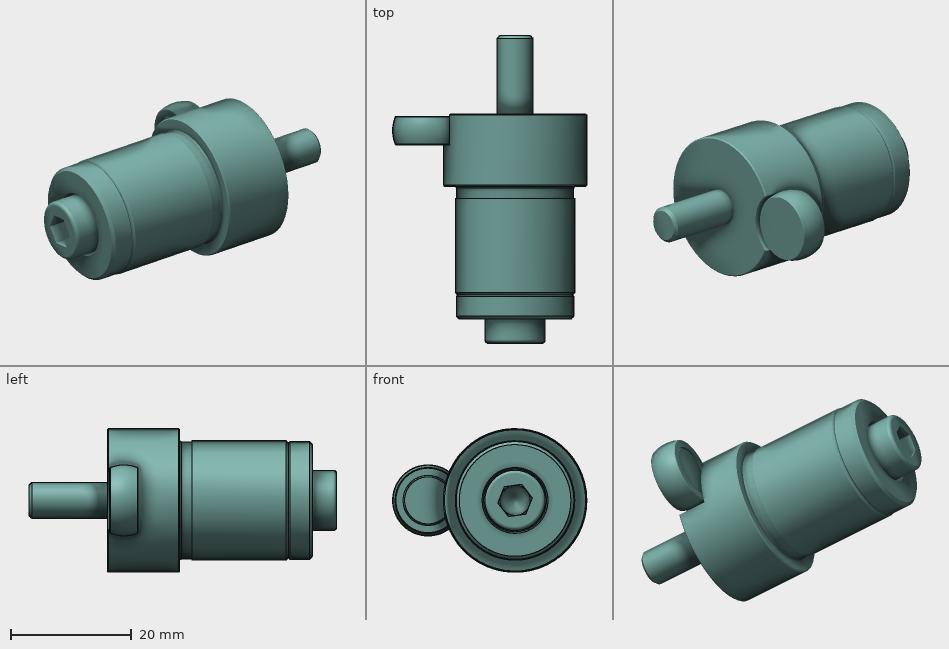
import cadquery as cq
import math


shank_radius = 3.0
shank_length = 45.0
tip_chamfer = 0.5
head_radius = 5.0
head_height = 6.0
head_fillet = 0.6
socket_across_flats = 5.0
socket_depth = 3.0
socket_cone_angle = 118.0
socket_turn = 8.0
screw_protrusion = 13.0

flange_radius = 11.9
flange_length = 12.0
flange_chamfer = 0.2
neck_radius = 9.7
neck_length = 2.0
neck_flare_width = 0.15
neck_flare_length = 0.3

sleeve_radius = 9.9
sleeve_length = 16.0
cap_radius = 9.75
cap_length = 4.0
cap_chamfer = 0.5
groove_radius = 9.5
counterbore_radius = 5.2
counterbore_chamfer = 0.25

disc_offset = 14.4
disc_radius = 5.9
disc_thickness = 4.7
disc_recess = 0.4
disc_edge_chamfer = 0.12
insert_radius = 4.15
insert_chamfer = 0.25
insert_recess = 0.2
pocket_radius = 6.0

flange_front = flange_length
neck_front = flange_front + neck_length
sleeve_front = neck_front + sleeve_length
cap_front = sleeve_front + cap_length
screw_tip = -screw_protrusion
head_back = screw_tip + shank_length
head_front = head_back + head_height
disc_back = disc_recess
disc_front = disc_back + disc_thickness


def turned(profile):
    """Revolve a closed outline of (radius, station) points about the Y axis."""
    points = [(radius, -station) for radius, station in profile]
    return cq.Workplane("XY").polyline(points).close().revolve(360, (0, 0, 0), (0, 1, 0))


def cylinder(radius, back, front):
    """Plain cylinder on the Y axis between two stations."""
    return turned([(0, back), (radius, back), (radius, front), (0, front)])


def make_screw():
    shank_tip_radius = shank_radius - tip_chamfer
    body = turned([
        (0, screw_tip),
        (shank_tip_radius, screw_tip),
        (shank_radius, screw_tip + tip_chamfer),
        (shank_radius, head_back),
        (head_radius, head_back),
        (head_radius, head_front),
        (0, head_front),
    ])
    body = body.faces("<Y").edges().fillet(head_fillet)

    socket_floor = head_front - socket_depth
    corner_diameter = socket_across_flats / math.cos(math.pi / 6)
    hexagon = (
        cq.Workplane("XZ", origin=(0, -socket_floor, 0))
        .polygon(6, corner_diameter)
        .extrude(socket_depth)
        .rotate((0, 0, 0), (0, 1, 0), -socket_turn)
    )
    cone_radius = socket_across_flats / 2
    cone_depth = cone_radius / math.tan(math.radians(socket_cone_angle / 2))
    drill_point = turned([
        (0, socket_floor - cone_depth),
        (cone_radius, socket_floor),
        (0, socket_floor),
    ])
    return body.cut(hexagon).cut(drill_point)


def make_flange():
    body = turned([
        (shank_radius, 0),
        (flange_radius - flange_chamfer, 0),
        (flange_radius, flange_chamfer),
        (flange_radius, flange_front - flange_chamfer),
        (flange_radius - flange_chamfer, flange_front),
        (neck_radius + neck_flare_width, flange_front),
        (neck_radius, flange_front + neck_flare_length),
        (neck_radius, neck_front),
        (shank_radius, neck_front),
    ])
    pocket = cylinder(pocket_radius, 0, disc_front).translate((-disc_offset, 0, 0))
    return body.cut(pocket)


def make_sleeve():
    sleeve_chamfer = sleeve_radius - groove_radius
    return turned([
        (shank_radius, neck_front),
        (sleeve_radius, neck_front),
        (sleeve_radius, sleeve_front - sleeve_chamfer),
        (groove_radius, sleeve_front),
        (shank_radius, sleeve_front),
    ])


def make_cap():
    cap_back_chamfer = cap_radius - groove_radius
    return turned([
        (shank_radius, sleeve_front),
        (groove_radius, sleeve_front),
        (cap_radius, sleeve_front + cap_back_chamfer),
        (cap_radius, cap_front - cap_chamfer),
        (cap_radius - cap_chamfer, cap_front),
        (counterbore_radius + counterbore_chamfer, cap_front),
        (counterbore_radius, cap_front - counterbore_chamfer),
        (counterbore_radius, head_back),
        (shank_radius, head_back),
    ])


def make_disc_ring():
    middle = (disc_back + disc_front) / 2
    half_rim = disc_thickness / 2 - disc_edge_chamfer
    rim_end_radius = math.sqrt(disc_radius**2 - half_rim**2)
    face_radius = rim_end_radius - disc_edge_chamfer
    ring = (
        cq.Workplane("XY")
        .moveTo(insert_radius, -disc_back)
        .lineTo(face_radius, -disc_back)
        .lineTo(rim_end_radius, -(middle - half_rim))
        .threePointArc((disc_radius, -middle), (rim_end_radius, -(middle + half_rim)))
        .lineTo(face_radius, -disc_front)
        .lineTo(insert_radius, -disc_front)
        .close()
        .revolve(360, (0, 0, 0), (0, 1, 0))
    )
    return ring.translate((-disc_offset, 0, 0))


def make_insert():
    insert = cylinder(insert_radius, disc_back, disc_front - insert_recess)
    insert = insert.faces("<Y").edges().chamfer(insert_chamfer)
    return insert.translate((-disc_offset, 0, 0))


screw = make_screw()
flange = make_flange()
sleeve = make_sleeve()
cap = make_cap()
disc_ring = make_disc_ring()
insert = make_insert()

result = cq.Compound.makeCompound([
    screw.val(),
    flange.val(),
    sleeve.val(),
    cap.val(),
    disc_ring.val(),
    insert.val(),
])